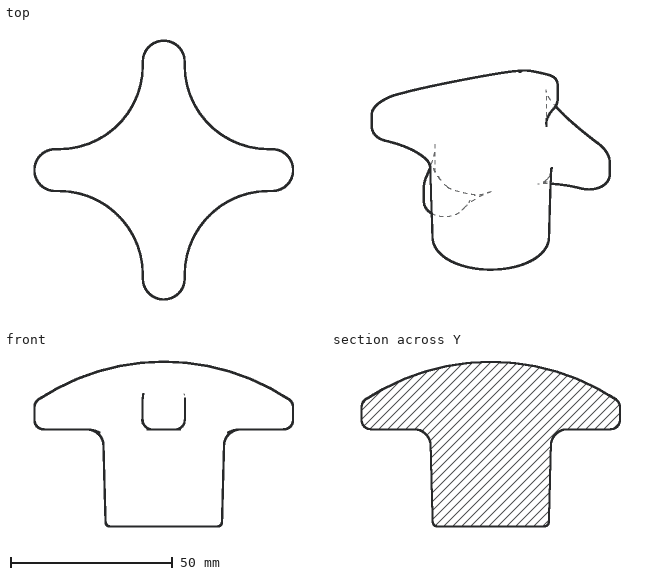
import cadquery as cq
import math

arm_count = 4
span = 80.0
arm_width = 13.0
overall_height = 51.0
underside_height = 30.0
dome_radius = 70.0
flank_end = 32.3
edge_round = 3.0

hub_base_diameter = 36.0
hub_draft_angle = 1.5
hub_overlap = 4.0
hub_base_round = 1.5
neck_round = 5.0

arm_half_width = arm_width / 2
tip_center = span / 2 - arm_half_width
flank_radius = flank_end - arm_half_width
flank_middle = flank_end - flank_radius * math.cos(math.radians(45))
draft_slope = math.tan(math.radians(hub_draft_angle))


def hub_radius(height):
    """Radius of the tapered hub at a height above its base."""
    return hub_base_diameter / 2 + height * draft_slope


def on_arm(arm, x, y):
    """Turn a point of the +X arm onto the numbered arm, a quarter turn per arm."""
    for _ in range(arm):
        x, y = -y, x
    return (x, y)


def make_cross():
    """Flat-topped cross: round arm tips joined by concave flanks."""
    outline = cq.Workplane("XY", origin=(0, 0, underside_height))
    outline = outline.moveTo(tip_center, -arm_half_width)
    for arm in range(arm_count):
        outline = outline.threePointArc(
            on_arm(arm, span / 2, 0),
            on_arm(arm, tip_center, arm_half_width),
        )
        outline = outline.lineTo(*on_arm(arm, flank_end, arm_half_width))
        outline = outline.threePointArc(
            on_arm(arm, flank_middle, flank_middle),
            on_arm(arm, arm_half_width, flank_end),
        )
        if arm < arm_count - 1:
            outline = outline.lineTo(*on_arm(arm, arm_half_width, tip_center))
    return outline.close().extrude(overall_height - underside_height)


def make_grip():
    """Cross cut to a domed top, with its upper and lower edges rounded."""
    dome = cq.Workplane("XY", origin=(0, 0, overall_height - dome_radius)).sphere(dome_radius)
    domed_cross = make_cross().intersect(dome)
    return domed_cross.faces("<Z or %SPHERE").edges().fillet(edge_round)


def make_hub():
    """Round hub, tapered by the draft angle and rounded at its base."""
    top = underside_height + hub_overlap
    profile = (
        cq.Workplane("XZ")
        .lineTo(hub_radius(0), 0)
        .lineTo(hub_radius(top), top)
        .lineTo(0, top)
        .close()
    )
    hub = profile.revolve(360, (0, 0), (0, 1))
    return hub.faces("<Z").edges().fillet(hub_base_round)


def blend_neck(body):
    """Round the whole seam where the hub wall meets the grip."""
    hub_wall = body.faces("%CONE")
    seam = hub_wall.edges("not <Z")
    return seam.fillet(neck_round)


result = blend_neck(make_grip().union(make_hub()))